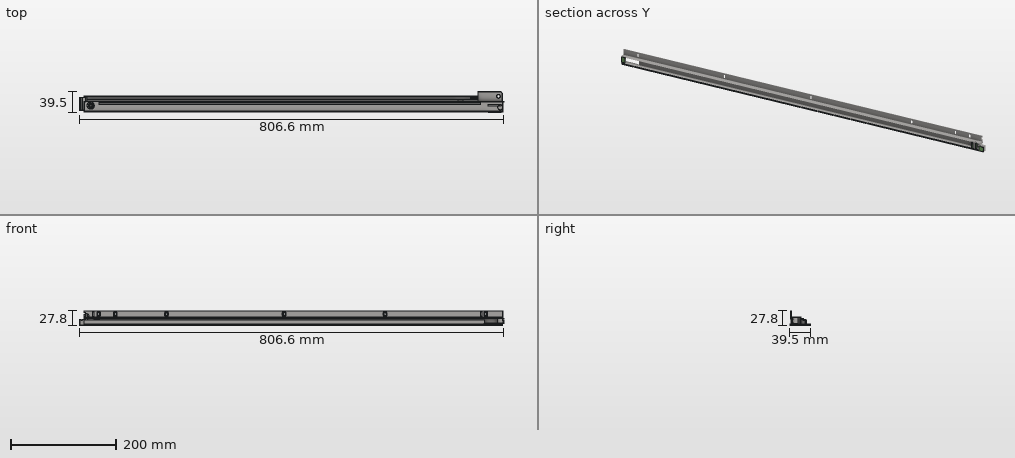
import cadquery as cq

TOTAL_LENGTH = 806.63
TOTAL_WIDTH = 39.5
TOTAL_HEIGHT = 27.83
SHEET = 1.2

BASE_FRONT = 1.0
FRONT_WALL_Y = 1.8
BASE_THICKNESS = 2.6
BASE_BACK = 31.0
BASE_END = TOTAL_LENGTH - 3.0
RAIL_START = 8.0
FRONT_WALL_TOP = 10.8
BACK_WALL_TOP = 10.8
FRONT_WALL_END = 769.0
LIP_STEP_Y = 26.0
LIP_EDGE_Y = 21.5
LIP_TOP = 13.6
LIP_START = 14.0
BACK_WALL_END = 757.0
LIP_PAD_LENGTH = 14.0
LIP_PAD_WIDTH = 2.4
LIP_PAD_HEIGHT = 0.6
WALL_GAP_START = 31.0
WALL_GAP_LENGTH = 8.5
LIP_NOTCH_START = 719.0
LIP_NOTCH_LENGTH = 10.0

STOP_FRONT = 4.0
STOP_BACK = 28.6
STOP_TOP = 11.4
STOP_LENGTH = 11.0
STOP_GROOVE_START = 2.6
STOP_GROOVE_WIDTH = 2.6
STOP_GROOVE_DEPTH = 1.5

TAB_START = 757.0
TAB_LENGTH = 46.5
TAB_CHAMFER = 3.0
TAB_HOLE_X = 796.0
TAB_HOLE_Y = 30.8
TAB_HOLE_DIAMETER = 6.5
FOOT_START = 777.0
FOOT_LENGTH = 24.0

DRAWER_END = 804.5
WEB_FRONT = 0.9
FLANGE_FRONT = 1.5
WEB_TOP = 16.2
WEB_BAND_BOTTOM = 13.2
HANGING_WALL_BACK = 20.7
HANGING_WALL_BOTTOM = 4.0
GROOVE_FRONT = 15.2
GROOVE_BACK = 17.6
GROOVE_DEPTH = 0.6
GROOVE_START = 37.0
GROOVE_END = 762.0
WEB_POCKET_START = 776.0
WEB_POCKET_END = 801.0
WEB_POCKET_FRONT = 12.6
WEB_POCKET_BACK = 15.6
END_BOSS_X = 799.5
END_BOSS_Y = 10.0
END_BOSS_DIAMETER = 10.0
END_BOSS_BOTTOM = 4.0
TONGUE_SLOT_BOTTOM = 9.2
TONGUE_SLOT_TOP = 11.8
TONGUE_TOP = 13.4
NEAR_FOLD_BOTTOM = 12.4

SLOT_Z = 21.6
SLOT_WIDTH = 3.0
SLOT_LENGTH = 6.4
RECESS_WIDTH = 7.2
RECESS_LENGTH = 9.6
RECESS_DEPTH = 0.6
SLOT_CENTERS = (36.2, 67.6, 165.0, 388.6, 580.4, 772.0)
NARROW_GROOVE_WIDTH = 2.6
NARROW_GROOVE_LENGTH = 9.6
NARROW_GROOVE_CENTERS = (26.0, 763.0)

NOTCH_Z = 22.4
NOTCH_HEIGHT = 3.8
NOTCH_LENGTH = 3.0
PAD_X = 13.0
PAD_Z = 18.0
PAD_DIAMETER = 8.8
PAD_HOLE_DIAMETER = 4.6

ROLLER_X = 21.0
ROLLER_Y = 13.2
ROLLER_DIAMETER = 13.6
HUB_DIAMETER = 9.0
HUB_RECESS = 1.0
PIN_BORE = 5.0


def block(x0, x1, y0, y1, z0, z1):
    """Box between two opposite corners."""
    return cq.Workplane("XY").box(x1 - x0, y1 - y0, z1 - z0, centered=False).translate((x0, y0, z0))


def upright_slot(middle, face_y, length, width, depth):
    """Upright round-ended cutter that enters the flange at face_y and runs toward +Y."""
    return (cq.Workplane("XZ", origin=(middle, face_y, SLOT_Z))
            .slot2D(length, width, 90).extrude(-depth))


def make_cabinet_rail():
    rail = block(RAIL_START, BASE_END, BASE_FRONT, BASE_BACK, 0, BASE_THICKNESS)

    wall_inside = BASE_BACK - SHEET
    rail = rail.union(block(RAIL_START, FRONT_WALL_END, FRONT_WALL_Y, FRONT_WALL_Y + SHEET,
                            0, FRONT_WALL_TOP))
    rail = rail.union(block(RAIL_START, BACK_WALL_END, wall_inside, BASE_BACK, 0, BACK_WALL_TOP))

    step_inside = LIP_STEP_Y - SHEET
    step_bottom = BACK_WALL_TOP - SHEET
    lip_bottom = LIP_TOP - SHEET
    rail = rail.union(block(LIP_START, BACK_WALL_END, step_inside, BASE_BACK, step_bottom, BACK_WALL_TOP))
    rail = rail.union(block(LIP_START, BACK_WALL_END, step_inside, LIP_STEP_Y, step_bottom, LIP_TOP))
    rail = rail.union(block(LIP_START, BACK_WALL_END, LIP_EDGE_Y, LIP_STEP_Y, lip_bottom, LIP_TOP))
    pad_front = (LIP_STEP_Y + BASE_BACK - LIP_PAD_WIDTH) / 2
    rail = rail.union(block(BACK_WALL_END - LIP_PAD_LENGTH, BACK_WALL_END,
                            pad_front, pad_front + LIP_PAD_WIDTH,
                            BACK_WALL_TOP, BACK_WALL_TOP + LIP_PAD_HEIGHT))

    rail = rail.cut(block(LIP_NOTCH_START, LIP_NOTCH_START + LIP_NOTCH_LENGTH,
                          LIP_EDGE_Y, step_inside, lip_bottom, LIP_TOP))
    rail = rail.cut(block(WALL_GAP_START, WALL_GAP_START + WALL_GAP_LENGTH,
                          wall_inside, BASE_BACK, BASE_THICKNESS, BACK_WALL_TOP))

    rail = rail.union(block(0, STOP_LENGTH, STOP_FRONT, STOP_BACK, 0, STOP_TOP))
    rail = rail.cut(block(STOP_GROOVE_START, STOP_GROOVE_START + STOP_GROOVE_WIDTH,
                          STOP_FRONT, STOP_BACK, STOP_TOP - STOP_GROOVE_DEPTH, STOP_TOP))

    tab = block(TAB_START, TAB_START + TAB_LENGTH, wall_inside, TOTAL_WIDTH, 0, BASE_THICKNESS)
    tab = tab.edges("|Z and >X and >Y").chamfer(TAB_CHAMFER)
    rail = rail.union(tab)
    rail = rail.cut(cq.Workplane("XY").center(TAB_HOLE_X, TAB_HOLE_Y)
                    .circle(TAB_HOLE_DIAMETER / 2).extrude(BASE_THICKNESS))

    foot = block(FOOT_START, FOOT_START + FOOT_LENGTH, 0, BASE_FRONT, 0, BASE_THICKNESS)
    return rail.union(foot)


def make_drawer_rail():
    web_bottom = WEB_TOP - SHEET
    flange_back = FLANGE_FRONT + SHEET
    rail = block(RAIL_START, DRAWER_END, WEB_FRONT, HANGING_WALL_BACK, web_bottom, WEB_TOP)
    rail = rail.union(block(RAIL_START, DRAWER_END, WEB_FRONT, flange_back, WEB_BAND_BOTTOM, WEB_TOP))
    rail = rail.union(block(RAIL_START, DRAWER_END, FLANGE_FRONT, flange_back, web_bottom, TOTAL_HEIGHT))

    rail = rail.union(block(RAIL_START, RAIL_START + SHEET, WEB_FRONT, HANGING_WALL_BACK,
                            NEAR_FOLD_BOTTOM, WEB_TOP))

    wall_front = HANGING_WALL_BACK - SHEET
    rail = rail.union(block(GROOVE_START, DRAWER_END, wall_front, HANGING_WALL_BACK,
                            HANGING_WALL_BOTTOM, WEB_TOP))
    rail = rail.union(block(DRAWER_END, TOTAL_LENGTH, wall_front, HANGING_WALL_BACK,
                            HANGING_WALL_BOTTOM, TONGUE_TOP))
    rail = rail.cut(block(DRAWER_END, TOTAL_LENGTH, wall_front, HANGING_WALL_BACK,
                          TONGUE_SLOT_BOTTOM, TONGUE_SLOT_TOP))

    groove_floor = WEB_TOP - GROOVE_DEPTH
    rail = rail.cut(block(GROOVE_START, GROOVE_END, GROOVE_FRONT, GROOVE_BACK, groove_floor, WEB_TOP))
    rail = rail.cut(block(WEB_POCKET_START, WEB_POCKET_END, WEB_POCKET_FRONT, WEB_POCKET_BACK,
                          groove_floor, WEB_TOP))
    rail = rail.union(cq.Workplane("XY", origin=(END_BOSS_X, END_BOSS_Y, END_BOSS_BOTTOM))
                      .circle(END_BOSS_DIAMETER / 2).extrude(web_bottom - END_BOSS_BOTTOM))

    for middle in SLOT_CENTERS:
        rail = rail.cut(upright_slot(middle, FLANGE_FRONT, RECESS_LENGTH, RECESS_WIDTH, RECESS_DEPTH))
        rail = rail.cut(upright_slot(middle, FLANGE_FRONT, SLOT_LENGTH, SLOT_WIDTH, SHEET))
    for middle in NARROW_GROOVE_CENTERS:
        rail = rail.cut(upright_slot(middle, FLANGE_FRONT, NARROW_GROOVE_LENGTH, NARROW_GROOVE_WIDTH,
                                     RECESS_DEPTH))

    rail = rail.cut(block(RAIL_START, RAIL_START + NOTCH_LENGTH, FLANGE_FRONT, flange_back,
                          NOTCH_Z - NOTCH_HEIGHT / 2, NOTCH_Z + NOTCH_HEIGHT / 2))
    rail = rail.union(cq.Workplane("XZ", origin=(PAD_X, FLANGE_FRONT, PAD_Z))
                      .circle(PAD_DIAMETER / 2).circle(PAD_HOLE_DIAMETER / 2)
                      .extrude(FLANGE_FRONT - WEB_FRONT))

    return rail.cut(cq.Workplane("XY", origin=(ROLLER_X, ROLLER_Y, web_bottom))
                    .circle(ROLLER_DIAMETER / 2).extrude(SHEET))


def make_roller():
    body = (cq.Workplane("XY", origin=(ROLLER_X, ROLLER_Y, BASE_THICKNESS))
            .circle(ROLLER_DIAMETER / 2).extrude(WEB_TOP - BASE_THICKNESS))
    top = body.faces(">Z").workplane()
    return top.cboreHole(PIN_BORE, HUB_DIAMETER, HUB_RECESS)


cabinet_rail = make_cabinet_rail()
drawer_rail = make_drawer_rail()
roller = make_roller()

result = cq.Compound.makeCompound([cabinet_rail.val(), drawer_rail.val(), roller.val()])